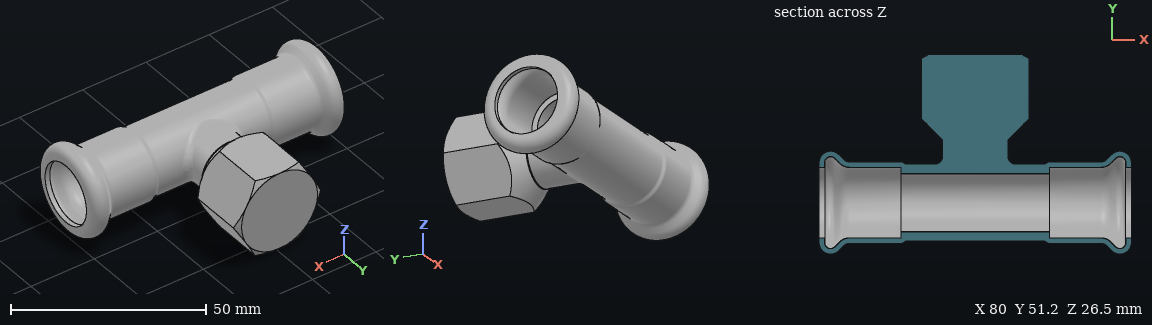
import cadquery as cq
import math

run_length = 80.0
wall = 1.5
socket_radius = 21.0 / 2
tube_radius = 19.8 / 2
tube_bore_radius = 14.8 / 2
socket_depth = 21.0

bead_outer_radius = 26.48 / 2
bead_round = 3.0
bead_angle = math.radians(45)
bead_blend = 2.0

shoulder_blend = 1.0
shoulder_angle = math.radians(30)

neck_radius = 16.8 / 2
branch_fillet = 2.0
nut_sides = 6
nut_across_flats = 24.0
nut_end = 38.0
nut_base = 15.8
nut_base_radius = 8.5
nut_collar_length = 0.25
nut_cone_angle = math.radians(45)
nut_chamfer_angle = math.radians(30)

half_length = run_length / 2
bead_centre_radius = bead_outer_radius - bead_round
nut_corner_radius = nut_across_flats / 2 / math.cos(math.pi / nut_sides)


def polar(centre, radius, angle):
    """Point on a circle, with the angle measured from the +X direction."""
    return (centre[0] + radius * math.cos(angle), centre[1] + radius * math.sin(angle))


def trace_bead_back(sketch, bead_centre, round_radius, blend_radius, end_radius):
    """Draw the bead from its front tangent over the top and down to end_radius."""
    slope_normal = math.pi / 2 - bead_angle
    slope_start = polar(bead_centre, round_radius, slope_normal)
    blend_centre_radius = end_radius + blend_radius
    slope_end_radius = blend_centre_radius - blend_radius * math.sin(slope_normal)
    slope_end_x = slope_start[0] + (slope_start[1] - slope_end_radius) / math.tan(bead_angle)
    blend_centre = (slope_end_x + blend_radius * math.cos(slope_normal), blend_centre_radius)
    blend_middle_angle = -math.pi / 2 - bead_angle / 2
    return (
        sketch
        .threePointArc(polar(bead_centre, round_radius, math.pi / 2), slope_start)
        .lineTo(slope_end_x, slope_end_radius)
        .threePointArc(
            polar(blend_centre, blend_radius, blend_middle_angle),
            (blend_centre[0], end_radius),
        )
    )


def trace_shoulder(sketch):
    """Draw the S-shaped shoulder from the socket's outside down to the tube's outside."""
    start = socket_depth
    top_centre = (start, socket_radius - shoulder_blend)
    slope_normal = math.pi / 2 - shoulder_angle
    slope_start = polar(top_centre, shoulder_blend, slope_normal)
    blend_drop = shoulder_blend * (1 - math.cos(shoulder_angle))
    slope_drop = socket_radius - tube_radius - 2 * blend_drop
    slope_end = (
        slope_start[0] + slope_drop / math.tan(shoulder_angle),
        slope_start[1] - slope_drop,
    )
    bottom_centre = (
        slope_end[0] + shoulder_blend * math.sin(shoulder_angle),
        tube_radius + shoulder_blend,
    )
    return (
        sketch
        .lineTo(start, socket_radius)
        .threePointArc(
            polar(top_centre, shoulder_blend, math.pi / 2 - shoulder_angle / 2),
            slope_start,
        )
        .lineTo(*slope_end)
        .threePointArc(
            polar(bottom_centre, shoulder_blend, -math.pi / 2 - shoulder_angle / 2),
            (bottom_centre[0], tube_radius),
        )
    )


def revolve_about_run(sketch):
    """Revolve a profile drawn from the end face, then place that end face at -X."""
    solid = sketch.close().revolve(360, (0, 0, 0), (1, 0, 0))
    return solid.translate((-half_length, 0, 0))


def both_ends(half):
    """Join a half of the run with its mirror image."""
    return half.union(half.mirror("YZ"))


def make_run():
    """Outside of the run as a solid bar."""
    bead_centre = (bead_round, bead_centre_radius)
    sketch = cq.Workplane("XY").lineTo(0, bead_centre_radius)
    sketch = trace_bead_back(sketch, bead_centre, bead_round, bead_blend, socket_radius)
    sketch = trace_shoulder(sketch)
    sketch = sketch.lineTo(half_length, tube_radius).lineTo(half_length, 0)
    return both_ends(revolve_about_run(sketch))


def make_run_cavity():
    """Inside of the run: seal grooves under the beads, sockets and the through bore."""
    bore_radius = socket_radius - wall
    bead_centre = (bead_round, bead_centre_radius)
    sketch = (
        cq.Workplane("XY")
        .lineTo(0, bore_radius)
        .lineTo(wall, bore_radius)
        .lineTo(wall, bead_centre_radius)
    )
    sketch = trace_bead_back(
        sketch, bead_centre, bead_round - wall, bead_blend + wall, bore_radius
    )
    sketch = (
        sketch
        .lineTo(socket_depth, bore_radius)
        .lineTo(socket_depth, tube_bore_radius)
        .lineTo(half_length, tube_bore_radius)
        .lineTo(half_length, 0)
    )
    return both_ends(revolve_about_run(sketch))


def add_neck(run):
    """Add the round branch neck and fillet the saddle where it meets the tube."""
    neck = cq.Workplane("XZ").circle(neck_radius).extrude(-nut_base)
    margin = branch_fillet / 2
    half_width = neck_radius + margin
    saddle_box = cq.selectors.BoxSelector(
        (-half_width, 0, -half_width),
        (half_width, tube_radius + margin, half_width),
        boundingbox=True,
    )
    return run.union(neck).edges(saddle_box).edges("not %LINE").fillet(branch_fillet)


def make_nut():
    """Hexagonal branch end, chamfered at its face and coned down to a collar on the neck."""
    hexagon = (
        cq.Workplane("XZ", origin=(0, nut_base, 0))
        .polygon(nut_sides, 2 * nut_corner_radius)
        .extrude(-(nut_end - nut_base))
    )
    face_radius = nut_across_flats / 2
    chamfer_depth = (nut_corner_radius - face_radius) * math.tan(nut_chamfer_angle)
    cone_start = nut_base + nut_collar_length
    cone_length = (nut_corner_radius - nut_base_radius) * math.tan(nut_cone_angle)
    envelope = (
        cq.Workplane("XY")
        .moveTo(0, nut_base)
        .lineTo(nut_base_radius, nut_base)
        .lineTo(nut_base_radius, cone_start)
        .lineTo(nut_corner_radius, cone_start + cone_length)
        .lineTo(nut_corner_radius, nut_end - chamfer_depth)
        .lineTo(face_radius, nut_end)
        .lineTo(0, nut_end)
        .close()
        .revolve(360, (0, 0, 0), (0, 1, 0))
    )
    return hexagon.intersect(envelope)


result = add_neck(make_run()).union(make_nut()).cut(make_run_cavity())